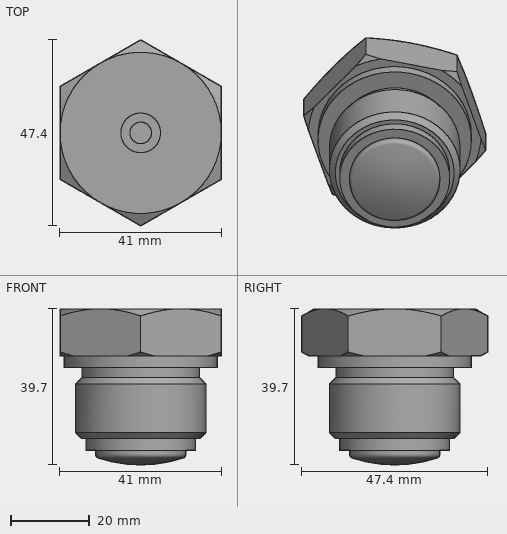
import cadquery as cq
import math

hex_corner_dia = 47.35
hex_height = 12.0
hex_chamfer_angle = 30.0
hex_bottom_chamfer_dia = 43.95

flange_dia = 39.0
flange_height = 3.0
neck_dia = 29.9
neck_height = 2.5
body_dia = 33.25
body_bottom_chamfer = 1.5
pilot_dia = 28.0
pilot_height = 3.0
cap_dia = 22.95
cap_side_height = 1.75
cap_fillet = 1.0
dome_height = 2.0
total_height = 39.7

recess_dia = 10.1
recess_depth = 1.0
center_hole_dia = 5.5
center_hole_depth = 1.0

hex_bottom = -hex_height
flange_bottom = hex_bottom - flange_height
neck_bottom = flange_bottom - neck_height
dome_tip = -total_height
dome_edge = dome_tip + dome_height
pilot_bottom = dome_edge + cap_side_height
body_bottom = pilot_bottom + pilot_height

hex_corner_radius = hex_corner_dia / 2
hex_flat_radius = hex_corner_radius * math.cos(math.radians(30))
chamfer_slope = math.tan(math.radians(hex_chamfer_angle))


def revolve_profile(profile):
    """Revolve a closed (radius, height) profile around the Z axis."""
    return profile.close().revolve(360, (0, 0, 0), (0, 1, 0))


def make_hex_head():
    """Hexagon with corners on Y, its corners trimmed by a cone at each end."""
    prism = (
        cq.Workplane("XY")
        .polygon(6, hex_corner_dia)
        .extrude(-hex_height)
        .rotate((0, 0, 0), (0, 0, 1), 30)
    )
    bottom_radius = hex_bottom_chamfer_dia / 2
    envelope_radius = hex_corner_radius + 0.45
    top_drop = (envelope_radius - hex_flat_radius) * chamfer_slope
    bottom_rise = (envelope_radius - bottom_radius) * chamfer_slope
    envelope = revolve_profile(
        cq.Workplane("XZ")
        .lineTo(hex_flat_radius, 0)
        .lineTo(envelope_radius, -top_drop)
        .lineTo(envelope_radius, hex_bottom + bottom_rise)
        .lineTo(bottom_radius, hex_bottom)
        .lineTo(0, hex_bottom)
    )
    return prism.intersect(envelope)


def make_shank():
    """Flange, neck, chamfered body and pilot, all coaxial."""
    neck_radius = neck_dia / 2
    body_radius = body_dia / 2
    body_top_chamfer = body_radius - neck_radius
    return revolve_profile(
        cq.Workplane("XZ")
        .moveTo(0, hex_bottom)
        .lineTo(flange_dia / 2, hex_bottom)
        .lineTo(flange_dia / 2, flange_bottom)
        .lineTo(neck_radius, flange_bottom)
        .lineTo(neck_radius, neck_bottom)
        .lineTo(body_radius, neck_bottom - body_top_chamfer)
        .lineTo(body_radius, body_bottom + body_bottom_chamfer)
        .lineTo(body_radius - body_bottom_chamfer, body_bottom)
        .lineTo(pilot_dia / 2, body_bottom)
        .lineTo(pilot_dia / 2, pilot_bottom)
        .lineTo(0, pilot_bottom)
    )


def make_domed_cap():
    """Short cylinder ending in a shallow spherical dome with a rounded rim."""
    cap_radius = cap_dia / 2
    sphere_radius = (cap_radius**2 + dome_height**2) / (2 * dome_height)
    mid_radius = cap_radius / 2
    mid_height = dome_tip + sphere_radius - math.sqrt(sphere_radius**2 - mid_radius**2)
    cap = revolve_profile(
        cq.Workplane("XZ")
        .moveTo(0, pilot_bottom)
        .lineTo(cap_radius, pilot_bottom)
        .lineTo(cap_radius, dome_edge)
        .threePointArc((mid_radius, mid_height), (0, dome_tip))
    )
    rim = cq.NearestToPointSelector((0, 0, dome_edge))
    return cap.edges(rim).fillet(cap_fillet)


def make_top_recess():
    """Stepped blind recess in the center of the top face."""
    recess = cq.Workplane("XY").circle(recess_dia / 2).extrude(-recess_depth)
    center_hole = (
        cq.Workplane("XY")
        .circle(center_hole_dia / 2)
        .extrude(-(recess_depth + center_hole_depth))
    )
    return recess.union(center_hole)


result = make_hex_head().union(make_shank()).union(make_domed_cap()).cut(make_top_recess())